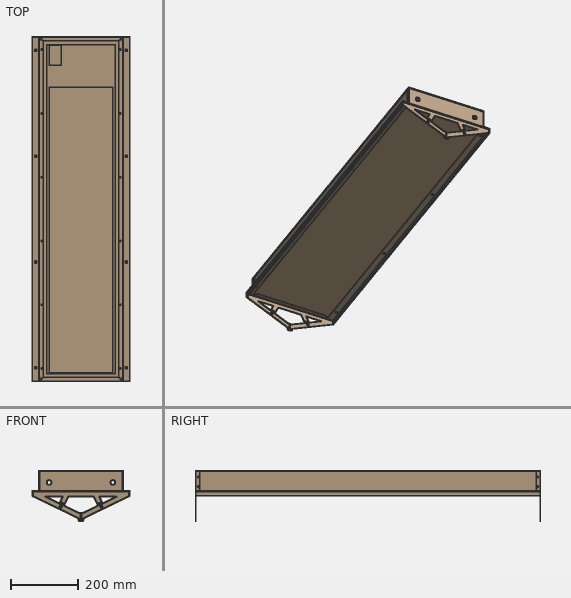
import cadquery as cq
import math

sheet = 1.0
base_sheet = 2.6

length = 1023.0
width = 290.0
box_width = 250.0
box_height = 60.0
flange = 12.0
wall_top = box_height - sheet
inner_half_width = box_width / 2 - sheet
inner_half_length = length / 2 - sheet
flange_reach = flange - sheet

cover_hole_diameter = 4.0
cover_hole_inset = 9.0
cover_hole_pitch = 189.0
cover_hole_count = 6
foot_hole_diameter = 6.0
foot_hole_inset = 10.0
foot_hole_pitch = 314.0
foot_hole_count = 4
tab_hole_diameter = 4.0
tab_hole_inset = 9.0
tab_hole_heights = (13.0, 42.0)
cable_hole_diameter = 13.0
cable_hole_spacing = 189.0
cable_hole_height = 26.0

opening_left = -94.0
window_width = 188.0
window_front = -485.0
window_back = 362.0
display_width = 36.0
display_front = 427.0
display_back = 486.0
pane_inset = 24.0
pane_thickness = 3.0

lip_depth = 14.0
bend_radius = 3.0

bar_depth = 16.0
beam_width = 15.0
knob_half_width = 7.7
knob_corner = 6.0
knob_depth = 90.0
beam_end_depth = 81.0
strut_offset = 46.0
apex_width = 12.0
apex_slot_width = 3.0
apex_slot_bottom = 85.0
strut_slot_width = 5.0
strut_slot_length = 15.0
strut_slot_depth = 42.0


def box(x_min, x_max, y_min, y_max, z_min, z_max):
    size = (x_max - x_min, y_max - y_min, z_max - z_min)
    return cq.Workplane("XY").box(*size, centered=False).translate((x_min, y_min, z_min))


def row_points(x, pitch, count):
    """Points along Y at one X, centred on the part."""
    return [(x, (i - (count - 1) / 2) * pitch) for i in range(count)]


def upright_holes(points, diameter):
    """Drills along Z, taller than the box."""
    return cq.Workplane("XY").pushPoints(points).circle(diameter / 2).extrude(2 * box_height)


def cover_holes():
    x = box_width / 2 - cover_hole_inset
    points = row_points(-x, cover_hole_pitch, cover_hole_count)
    points += row_points(x, cover_hole_pitch, cover_hole_count)
    return upright_holes(points, cover_hole_diameter).translate((0, 0, 2 * sheet))


def tab_holes():
    """Drills along X through the side rails and the tabs of the end plates."""
    y = length / 2 - tab_hole_inset
    points = [(end * y, z) for end in (-1, 1) for z in tab_hole_heights]
    drills = cq.Workplane("YZ").pushPoints(points).circle(tab_hole_diameter / 2)
    return drills.extrude(box_width, both=True)


def mitred_flange(outer_half, reach):
    """Flange along X: wide edge on the X axis, reaching toward +Y, ends cut at 45 degrees."""
    inner_half = outer_half - reach
    outline = [(-outer_half, 0), (outer_half, 0), (inner_half, reach), (-inner_half, reach)]
    return cq.Workplane("XY").polyline(outline).close().extrude(sheet)


def side_rail(side):
    """Z-shaped rail: foot outward at the bottom, mitred flange inward at the top."""
    x_wall = -box_width / 2
    y_end = length / 2
    wall = box(x_wall, x_wall + sheet, -y_end, y_end, 0, wall_top)
    foot = box(-width / 2, x_wall + sheet, -y_end, y_end, 0, sheet)
    top_flange = mitred_flange(inner_half_length, flange_reach).rotate((0, 0, 0), (0, 0, 1), -90)
    top_flange = top_flange.translate((-inner_half_width, 0, wall_top - sheet))
    foot_points = row_points(foot_hole_inset - width / 2, foot_hole_pitch, foot_hole_count)
    foot_holes = upright_holes(foot_points, foot_hole_diameter)
    rail = wall.union(foot).union(top_flange)
    rail = rail.cut(foot_holes).cut(cover_holes()).cut(tab_holes())
    return rail if side < 0 else rail.mirror("YZ")


def end_plate(end):
    """Plate between the side rails, with inward top and bottom flanges and a screw tab at each side."""
    y_face = -length / 2
    plate = box(-inner_half_width, inner_half_width, y_face, y_face + sheet, 0, wall_top)
    end_flange = mitred_flange(inner_half_width, flange_reach)
    plate = plate.union(end_flange.translate((0, -inner_half_length, wall_top - sheet)))
    plate = plate.union(end_flange.translate((0, -inner_half_length, 0)))
    tab_top = wall_top - sheet
    x_tab = -inner_half_width
    tab = box(x_tab, x_tab + sheet, y_face, y_face + flange, 0, tab_top)
    plate = plate.union(tab).union(tab.mirror("YZ"))
    cable_points = [(side * cable_hole_spacing / 2, cable_hole_height) for side in (-1, 1)]
    cable_holes = cq.Workplane("XZ").pushPoints(cable_points).circle(cable_hole_diameter / 2)
    plate = plate.cut(cable_holes.extrude(length)).cut(tab_holes()).cut(cover_holes())
    return plate if end < 0 else plate.mirror("XZ")


def make_cover():
    cover = box(-box_width / 2, box_width / 2, -length / 2, length / 2, wall_top, box_height)
    window = box(opening_left, opening_left + window_width, window_front, window_back, 0, 2 * box_height)
    display = box(opening_left, opening_left + display_width, display_front, display_back, 0, 2 * box_height)
    return cover.cut(window).cut(display).cut(cover_holes())


def make_pane():
    """Clear pane that lies against the underside of the cover."""
    x = box_width / 2 - pane_inset
    y = length / 2 - pane_inset
    return box(-x, x, -y, y, wall_top - pane_thickness, wall_top)


def make_base():
    """Channel with rounded bends, open downward, between the two trusses."""
    x = width / 2
    y = inner_half_length
    channel = box(-x, x, -y, y, -lip_depth, 0).edges("|Y and >Z").fillet(bend_radius)
    return channel.cut(box(base_sheet - x, x - base_sheet, -y, y, -lip_depth, -base_sheet))


def front_profile(points):
    """Closed outline in X and Z, made into a plate at the -Y end."""
    outline = cq.Workplane("XZ", origin=(0, sheet - length / 2, 0)).polyline(points).close()
    return outline.extrude(sheet)


def end_truss(end):
    """Plate with a top bar, two sloping beams to a rounded knob, and two struts."""
    x_edge = width / 2
    slope = (beam_end_depth - lip_depth) / (x_edge - knob_half_width)
    angle = math.atan(slope)

    plate = (
        cq.Workplane("XZ", origin=(0, sheet - length / 2, 0))
        .moveTo(-x_edge, 0)
        .lineTo(x_edge, 0)
        .lineTo(x_edge, -lip_depth)
        .lineTo(knob_half_width, -beam_end_depth)
        .lineTo(knob_half_width, -knob_depth)
        .lineTo(-knob_half_width, -knob_depth)
        .lineTo(-knob_half_width, -beam_end_depth)
        .lineTo(-x_edge, -lip_depth)
        .close()
        .extrude(sheet)
        .edges("|Y and <Z")
        .fillet(knob_corner)
    )

    edge_depth_at_middle = beam_end_depth + slope * knob_half_width - beam_width / math.cos(angle)
    x_corner = (edge_depth_at_middle - bar_depth) / slope
    x_apex = apex_width / 2
    z_apex = slope * x_apex - edge_depth_at_middle
    opening = front_profile(
        [(-x_corner, -bar_depth), (x_corner, -bar_depth), (x_apex, z_apex), (-x_apex, z_apex)]
    )

    beam_foot = (edge_depth_at_middle - slope * strut_offset - bar_depth) * math.cos(angle)
    strut_length = beam_foot + beam_width / 2
    strut_angle = -math.degrees(angle)
    pivot = (strut_offset, 0, -bar_depth)
    axis_end = (strut_offset, 1, -bar_depth)
    strut = front_profile(
        [
            (strut_offset - beam_width / 2, beam_width / 2 - bar_depth),
            (strut_offset + beam_width / 2, beam_width / 2 - bar_depth),
            (strut_offset + beam_width / 2, -bar_depth - strut_length),
            (strut_offset - beam_width / 2, -bar_depth - strut_length),
        ]
    ).rotate(pivot, axis_end, strut_angle)

    slot_middle = -bar_depth - (strut_slot_depth - bar_depth) / math.cos(angle)
    slot_top = slot_middle + strut_slot_length / 2
    slot_bottom = slot_middle - strut_slot_length / 2
    slot_left = strut_offset - strut_slot_width / 2
    slot_right = strut_offset + strut_slot_width / 2
    strut_slot = front_profile(
        [(slot_left, slot_top), (slot_right, slot_top), (slot_right, slot_bottom), (slot_left, slot_bottom)]
    ).rotate(pivot, axis_end, strut_angle)

    x_slot = apex_slot_width / 2
    apex_slot = front_profile(
        [(-x_slot, z_apex), (x_slot, z_apex), (x_slot, -apex_slot_bottom), (-x_slot, -apex_slot_bottom)]
    )

    truss = plate.cut(opening).union(strut).union(strut.mirror("YZ"))
    truss = truss.cut(strut_slot).cut(strut_slot.mirror("YZ")).cut(apex_slot)
    return truss if end < 0 else truss.mirror("XZ")


cover = make_cover()
pane = make_pane()
base = make_base()
side_rails = [side_rail(side) for side in (-1, 1)]
end_plates = [end_plate(end) for end in (-1, 1)]
end_trusses = [end_truss(end) for end in (-1, 1)]

bodies = [cover, pane, base, *side_rails, *end_plates, *end_trusses]
result = cq.Compound.makeCompound([body.val() for body in bodies])